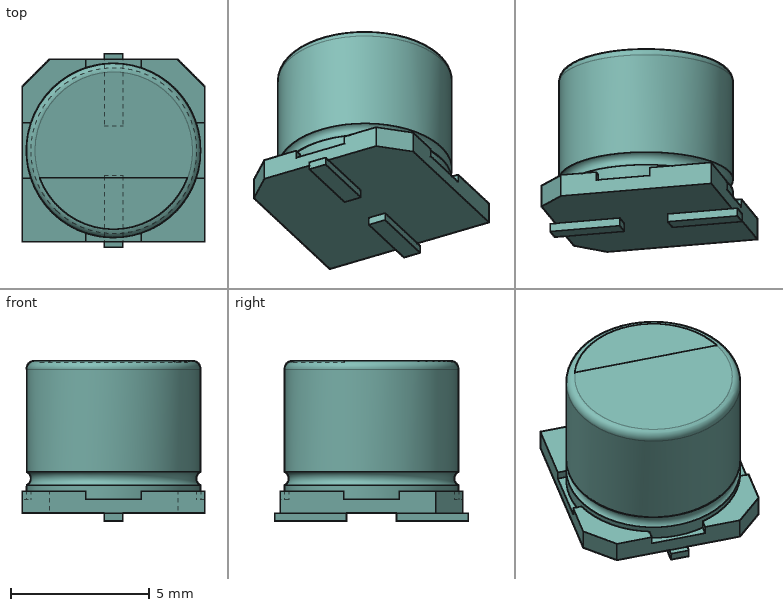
import cadquery as cq

base_width = 6.6
base_height = 0.8
corner_chamfer = 0.99
notch_width = 2.0
notch_depth = 0.3

can_diameter = 6.3
groove_diameter = 6.0
flange_height = 0.21
groove_height = 0.48
top_fillet = 0.3

terminal_width = 0.67
terminal_length = 2.605
terminal_height = 0.295
terminal_span = 7.0

mark_offset = 0.99
mark_depth = 0.05

total_height = 5.8

base_top = terminal_height + base_height
can_bottom = base_top - notch_depth
groove_bottom = base_top + flange_height
groove_top = groove_bottom + groove_height
groove_middle = (groove_bottom + groove_top) / 2
can_radius = can_diameter / 2
groove_radius = groove_diameter / 2
top_face_radius = can_radius - top_fillet


def make_base():
    """Square plate with two chamfered +Y corners and a notch in the middle of each side."""
    plate = (
        cq.Workplane("XY", origin=(0, 0, terminal_height))
        .rect(base_width, base_width)
        .extrude(base_height)
        .edges("|Z and >Y")
        .chamfer(corner_chamfer)
    )
    notch_floor = cq.Workplane("XY", origin=(0, 0, can_bottom))
    notch_along_x = notch_floor.rect(base_width, notch_width).extrude(notch_depth)
    notch_along_y = notch_floor.rect(notch_width, base_width).extrude(notch_depth)
    return plate.cut(notch_along_x).cut(notch_along_y)


def make_can():
    """Turned can with a rolled groove near its foot and a rounded top edge."""
    return (
        cq.Workplane("XZ")
        .moveTo(0, can_bottom)
        .lineTo(can_radius, can_bottom)
        .lineTo(can_radius, groove_bottom)
        .threePointArc((groove_radius, groove_middle), (can_radius, groove_top))
        .lineTo(can_radius, total_height - top_fillet)
        .radiusArc((top_face_radius, total_height), -top_fillet)
        .lineTo(0, total_height)
        .close()
        .revolve(360, (0, 0), (0, 1))
    )


def make_polarity_mark():
    """Thin circular segment, flush with the flat top of the can, on its -Y side."""
    disc = (
        cq.Workplane("XY", origin=(0, 0, total_height - mark_depth))
        .circle(top_face_radius)
        .extrude(mark_depth)
    )
    unmarked_side = (
        cq.Workplane("XY", origin=(0, -mark_offset, total_height - mark_depth))
        .rect(can_diameter, can_diameter, centered=(True, False))
        .extrude(mark_depth)
    )
    return disc.cut(unmarked_side)


def make_terminal(side):
    """Flat terminal strip reaching past the base plate on the given Y side (-1 or +1)."""
    center_y = side * (terminal_span - terminal_length) / 2
    return (
        cq.Workplane("XY", origin=(0, center_y, 0))
        .rect(terminal_width, terminal_length)
        .extrude(terminal_height)
    )


def make_housing(inlay):
    """Base plate and can as one piece, with a recess that the inlay fills."""
    return make_base().union(make_can()).cut(inlay)


polarity_mark = make_polarity_mark()
housing = make_housing(polarity_mark)
terminals = [make_terminal(side) for side in (-1, 1)]

result = cq.Compound.makeCompound(
    [housing.val(), polarity_mark.val(), *[terminal.val() for terminal in terminals]]
)